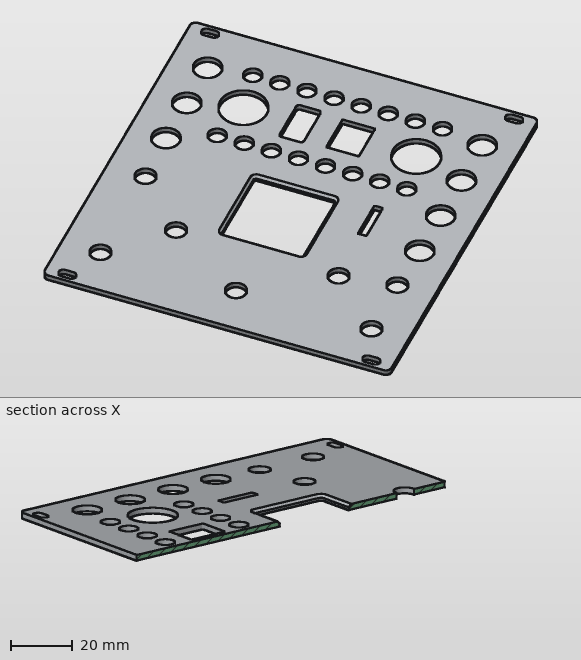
import cadquery as cq

plate_width = 121.6
plate_height = 128.4
plate_thickness = 2.0
corner_radius = 2.0

plate_axis_x = 0.0
hole_axis_x = 0.3

mount_slot_length = 6.0
mount_slot_width = 3.2
mount_slot_x = 53.3
mount_slot_y = 61.2

control_row_y = 32.9
small_hole_diameter = 6.3
small_hole_pitch = 9.5
small_holes_per_row = 8
small_row_offset = 15.3

large_hole_diameter = 16.3
large_hole_x = 30.3
switch_x = -10.1
switch_width = 8.5
switch_height = 16.0
switch_corner_radius = 1.0
socket_x = 7.6
socket_width = 11.4
socket_height = 14.0
socket_corner_radius = 0.3

jack_diameter = 9.6
jack_column_x = 48.2
jack_top_y = 45.8
jack_pitch = 17.8
left_jack_count = 3
right_jack_count = 4

medium_hole_diameter = 7.2
medium_side_x = 47.5
medium_inner_x = 28.5
medium_bottom_y = -47.6
medium_inner_y = -28.6
medium_left_y = -9.0
medium_right_y = -25.4

window_x = -0.3
window_y = -9.8
window_size = 28.6
window_corner_radius = 1.0
window_chamfer = 1.0

slit_x = 28.2
slit_y = -0.8
slit_width = 3.0
slit_height = 14.1
slit_corner_radius = 0.3


def round_cutter(points, diameter):
    """Cylinders through the plate at the given centres."""
    return cq.Workplane("XY").pushPoints(points).circle(diameter / 2).extrude(plate_thickness)


def rectangle_cutter(x, y, width, height, radius):
    """Block through the plate with rounded vertical edges."""
    block = cq.Workplane("XY").center(x, y).rect(width, height).extrude(plate_thickness)
    return block.edges("|Z").fillet(radius)


def mirrored(x, y, axis_x=hole_axis_x):
    """A pair of centres at a distance x on either side of a vertical axis."""
    return [(axis_x - x, y), (axis_x + x, y)]


plate = cq.Workplane("XY").rect(plate_width, plate_height).extrude(plate_thickness)
plate = plate.edges("|Z").fillet(corner_radius)

mount_points = mirrored(mount_slot_x, mount_slot_y, plate_axis_x)
mount_points += mirrored(mount_slot_x, -mount_slot_y, plate_axis_x)
mount_slots = cq.Workplane("XY").pushPoints(mount_points).slot2D(mount_slot_length, mount_slot_width)
plate = plate.cut(mount_slots.extrude(plate_thickness))

first_small_x = hole_axis_x - small_hole_pitch * (small_holes_per_row - 1) / 2
small_points = [
    (first_small_x + i * small_hole_pitch, control_row_y + offset)
    for offset in (-small_row_offset, small_row_offset)
    for i in range(small_holes_per_row)
]
plate = plate.cut(round_cutter(small_points, small_hole_diameter))

plate = plate.cut(round_cutter(mirrored(large_hole_x, control_row_y), large_hole_diameter))

left_jacks = [(hole_axis_x - jack_column_x, jack_top_y - i * jack_pitch) for i in range(left_jack_count)]
right_jacks = [(hole_axis_x + jack_column_x, jack_top_y - i * jack_pitch) for i in range(right_jack_count)]
plate = plate.cut(round_cutter(left_jacks + right_jacks, jack_diameter))

medium_points = mirrored(medium_side_x, medium_bottom_y)
medium_points += mirrored(medium_inner_x, medium_inner_y, plate_axis_x)
medium_points += [
    (hole_axis_x, medium_bottom_y),
    (hole_axis_x - medium_side_x, medium_left_y),
    (hole_axis_x + medium_side_x, medium_right_y),
]
plate = plate.cut(round_cutter(medium_points, medium_hole_diameter))

plate = plate.cut(
    rectangle_cutter(switch_x, control_row_y, switch_width, switch_height, switch_corner_radius)
)
plate = plate.cut(
    rectangle_cutter(socket_x, control_row_y, socket_width, socket_height, socket_corner_radius)
)
plate = plate.cut(rectangle_cutter(slit_x, slit_y, slit_width, slit_height, slit_corner_radius))

window = rectangle_cutter(window_x, window_y, window_size, window_size, window_corner_radius)
flare_size = window_size + 2 * window_chamfer
flare = rectangle_cutter(window_x, window_y, flare_size, flare_size, window_corner_radius + window_chamfer)
flare = flare.faces("<Z").chamfer(window_chamfer)
flare = flare.translate((0, 0, plate_thickness - window_chamfer))
plate = plate.cut(window).cut(flare)

result = plate